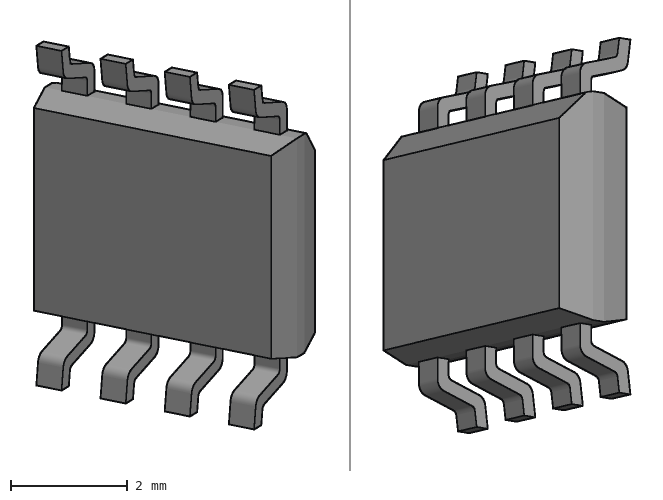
import cadquery as cq
import math


lead_span = 6.2
body_length = 5.0
body_width = 4.0
body_height = 1.5
standoff = 0.25

belt_height = 0.25
face_inset = 0.15
bevel_depth = 0.5
bevel_run = 0.38

leads_per_row = 4
lead_pitch = 1.27
lead_width = 0.5
lead_thickness = belt_height
shoulder_reach = 0.435
slope_angle = 74.0
foot_angle = 8.0
inner_bend_radius = 0.09
outer_bend_radius = 0.2

body_bottom = standoff
body_top = standoff + body_height
taper_height = (body_height - belt_height) / 2
taper_angle = math.degrees(math.atan(face_inset / taper_height))
belt_bottom = body_bottom + taper_height
belt_top = belt_bottom + belt_height
belt_middle = (belt_bottom + belt_top) / 2


def make_slab(start_y, height, taper=0.0):
    """Slab of the belt's outline, grown from start_y by height (negative is toward the board)."""
    normal_y = math.copysign(1, height)
    plane = cq.Plane(origin=(0, start_y, 0), xDir=(1, 0, 0), normal=(0, normal_y, 0))
    return cq.Workplane(plane).rect(body_length, body_width).extrude(abs(height), taper=taper)


def make_body():
    belt = make_slab(belt_bottom, belt_height)
    lower_taper = make_slab(belt_bottom, -taper_height, taper_angle)
    upper_taper = make_slab(belt_top, taper_height, taper_angle)
    body = belt.union(lower_taper).union(upper_taper)
    return body.cut(make_bevel_cutter())


def make_bevel_cutter():
    """Wedge that removes the long top edge on the +Z side."""
    bevel_low_y = body_top - bevel_depth
    bevel_low_z = body_width / 2 - (bevel_low_y - belt_top) * face_inset / taper_height
    bevel_high_z = body_width / 2 - face_inset - bevel_run
    slope = (bevel_low_z - bevel_high_z) / bevel_depth
    wedge = [
        (bevel_low_y - bevel_depth, bevel_low_z + slope * bevel_depth),
        (body_top + bevel_depth, bevel_high_z - slope * bevel_depth),
        (body_top + bevel_depth, bevel_low_z + slope * bevel_depth),
    ]
    return cq.Workplane("YZ").polyline(wedge).close().extrude(body_length, both=True)


def corner_offset(angle_before, angle_after):
    """(Y, Z) step from a bend of the middle line to the matching corner on the upper side."""
    half_turn = math.radians(angle_after - angle_before) / 2
    bisector = math.radians(angle_before + angle_after) / 2
    length = lead_thickness / 2 / math.cos(half_turn)
    return length * math.cos(bisector), length * math.sin(bisector)


def make_lead():
    """Gull-wing lead of the +Z row, centred on X = 0."""
    root_z = body_width / 2
    tip_z = lead_span / 2
    slope_tan = math.tan(math.radians(slope_angle))
    foot_tan = math.tan(math.radians(foot_angle))
    tip_thickness = lead_thickness / math.cos(math.radians(foot_angle))

    shoulder_y = belt_middle
    shoulder_z = root_z + shoulder_reach
    tip_y = tip_thickness / 2
    knee_run = (shoulder_y - tip_y - (tip_z - shoulder_z) * foot_tan) / (slope_tan - foot_tan)
    knee_y = shoulder_y - knee_run * slope_tan
    knee_z = shoulder_z + knee_run

    shoulder_dy, shoulder_dz = corner_offset(0, slope_angle)
    knee_dy, knee_dz = corner_offset(slope_angle, foot_angle)
    shoulder_outer = (shoulder_y + shoulder_dy, shoulder_z + shoulder_dz)
    shoulder_inner = (shoulder_y - shoulder_dy, shoulder_z - shoulder_dz)
    knee_inner = (knee_y + knee_dy, knee_z + knee_dz)
    knee_outer = (knee_y - knee_dy, knee_z - knee_dz)

    outline = [
        (belt_top, root_z),
        shoulder_outer,
        knee_inner,
        (tip_thickness, tip_z),
        (0, tip_z),
        knee_outer,
        shoulder_inner,
        (belt_bottom, root_z),
    ]
    lead = cq.Workplane("YZ").polyline(outline).close().extrude(lead_width / 2, both=True)

    bends = [
        (shoulder_outer, outer_bend_radius),
        (knee_inner, inner_bend_radius),
        (knee_outer, outer_bend_radius),
        (shoulder_inner, inner_bend_radius),
    ]
    for corner, radius in bends:
        nearest = cq.selectors.NearestToPointSelector((0, *corner))
        lead = lead.edges("|X").edges(nearest).fillet(radius)
    return lead


def make_leads():
    upper_lead = make_lead()
    lower_lead = upper_lead.mirror("XY")
    leads = []
    for position in range(leads_per_row):
        x = (position - (leads_per_row - 1) / 2) * lead_pitch
        leads.append(upper_lead.translate((x, 0, 0)).val())
        leads.append(lower_lead.translate((x, 0, 0)).val())
    return leads


body = make_body()
leads = make_leads()
result = cq.Compound.makeCompound([body.val(), *leads])